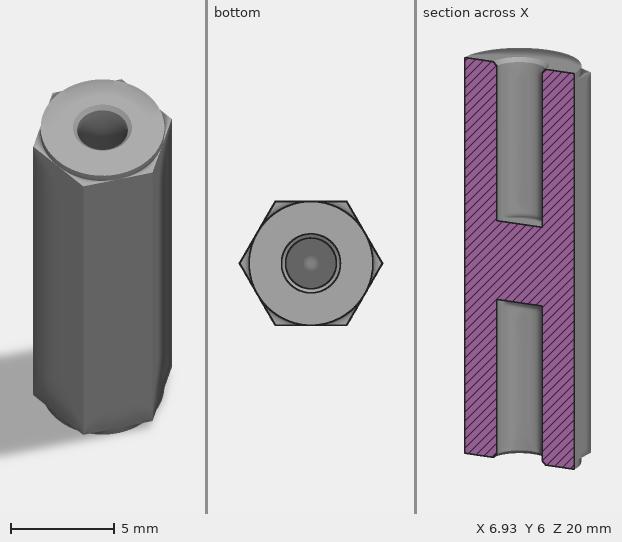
import cadquery as cq
import math

length = 20.0
across_flats = 6.0
across_corners = across_flats / math.cos(math.pi / 6)
collar_height = 0.4
bore_diameter = 2.45
bore_depth = 8.0
mouth_diameter = 2.85
mouth_depth = (mouth_diameter - bore_diameter) / 2


def make_body():
    """Hexagonal bar with a round collar on both ends."""
    hexagon = (
        cq.Workplane("XY")
        .polygon(6, across_corners)
        .extrude(length / 2 - collar_height, both=True)
    )
    core = cq.Workplane("XY").circle(across_flats / 2).extrude(length / 2, both=True)
    return hexagon.union(core)


def make_upper_bore():
    """Blind bore with a countersunk mouth, entering from the top end."""
    top = length / 2
    half_profile = [
        (0, top),
        (mouth_diameter / 2, top),
        (bore_diameter / 2, top - mouth_depth),
        (bore_diameter / 2, top - bore_depth),
        (0, top - bore_depth),
    ]
    return cq.Workplane("XZ").polyline(half_profile).close().revolve(360, (0, 0), (0, 1))


upper_bore = make_upper_bore()
lower_bore = upper_bore.mirror("XY")

result = make_body().cut(upper_bore).cut(lower_bore)